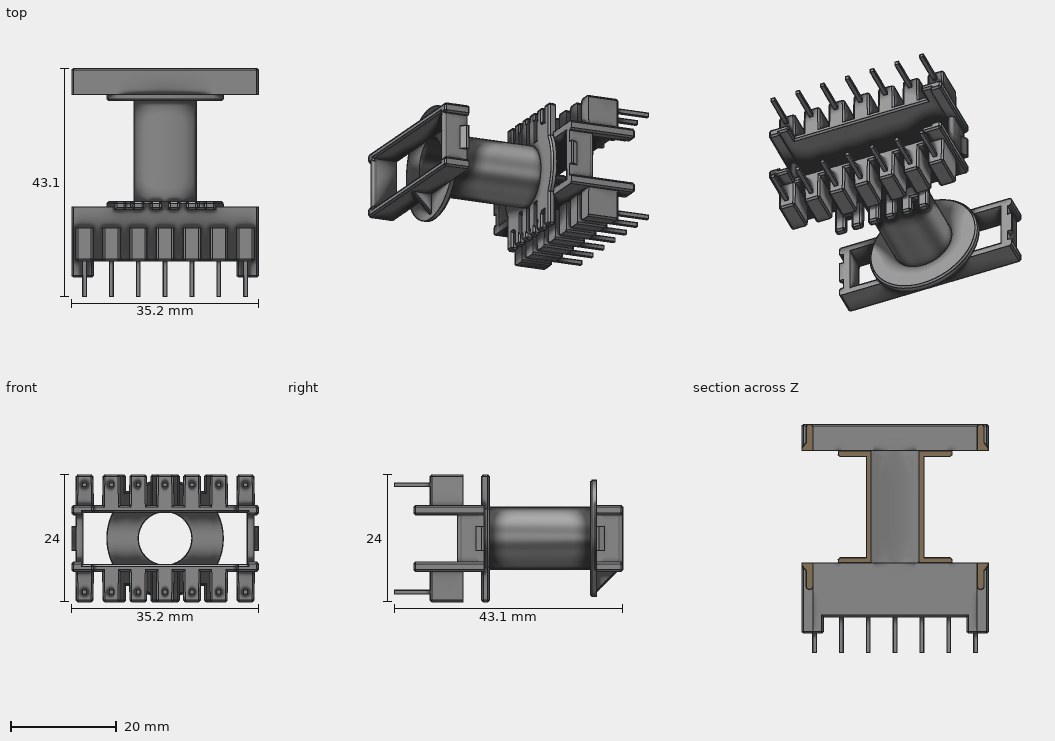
import cadquery as cq
import math


total_length = 43.1
pin_block_front = 6.72
pin_block_back = 12.97
arm_front = 3.65
side_wall_front = 11.9
tooth_front = 16.45
front_frame_back = 16.95
front_flange_back = 17.95
rear_flange_front = 37.0
rear_frame_front = 38.15

bore_radius = 5.05
tube_radius = 5.9
flange_radius = 11.0
edge_chamfer = 0.35
tolerance = 0.05

frame_width = 35.2
plate_outer_z = 6.25
plate_inner_z = 4.9
lip_inner_z = 4.45
side_wall_inner_x = 15.47
side_wall_outer_x = 16.8
arm_inner_x = 13.55

lug_half_height = 2.25
lug_flat = 0.47
lug_ramp = 1.05

overall_half_height = 24.0 / 2
pin_count = 7
pin_row_length = 30.4
pin_pitch = pin_row_length / (pin_count - 1)
pin_size = 0.75
pin_z = 10.15
block_base_width = 3.35
block_top_width = 3.15
pin_root = 0.45
block_root = 0.65

teeth_per_row = 6
tooth_row_length = 18.9
tooth_width = 2.03
tooth_pitch = (tooth_row_length - tooth_width) / (teeth_per_row - 1)
bridge_top_z = 8.85

gusset_size = 3.85
gusset_thickness = 1.05
gusset_chamfer = 0.2


def box(x0, x1, y0, y1, z0, z1):
    """Axis-aligned box between two opposite corners."""
    return cq.Workplane("XY").box(x1 - x0, y1 - y0, z1 - z0, centered=False).translate((x0, y0, z0))


def cylinder(radius, y0, y1):
    """Solid cylinder on the winding axis."""
    return cq.Workplane("XZ", origin=(0, y0, 0)).circle(radius).extrude(y0 - y1)


def mirrored(solid, plane):
    """The solid together with its mirror image."""
    return solid.union(solid.mirror(plane))


def flange(y0, y1, chamfered_side):
    """Round flange with one chamfered rim."""
    return cylinder(flange_radius, y0, y1).faces(chamfered_side).chamfer(edge_chamfer)


def plate(y0, y1):
    """Upper frame plate with a downward lip along each side."""
    half_width = frame_width / 2
    outline = [
        (-half_width, plate_outer_z),
        (half_width, plate_outer_z),
        (half_width, lip_inner_z),
        (side_wall_inner_x, lip_inner_z),
        (side_wall_inner_x, plate_inner_z),
        (-side_wall_inner_x, plate_inner_z),
        (-side_wall_inner_x, lip_inner_z),
        (-half_width, lip_inner_z),
    ]
    body = cq.Workplane("XZ", origin=(0, y0, 0)).polyline(outline).close().extrude(y0 - y1)
    return body.faces("<X or >X").edges("|Y").chamfer(edge_chamfer)


def front_plate():
    """Upper front plate: a central shelf between two longer arms."""
    body = plate(arm_front, front_frame_back)
    notch = box(-arm_inner_x, arm_inner_x, arm_front, pin_block_front, 0, overall_half_height)
    body = body.cut(notch)
    notch_edges = cq.selectors.BoxSelector(
        (-arm_inner_x - tolerance, arm_front, 0),
        (arm_inner_x + tolerance, pin_block_front + tolerance, plate_outer_z + tolerance),
    )
    arm_end_edges = body.faces("<Y").edges()
    return arm_end_edges.add(body.edges("|X or |Y").edges(notch_edges)).chamfer(edge_chamfer)


def rear_plate():
    """Upper rear plate, chamfered around its free end."""
    return plate(rear_frame_front, total_length).faces(">Y").edges().chamfer(edge_chamfer)


def side_wall(seat_y, end_y):
    """Right-hand side wall from its flange to a half-round free end."""
    radius = (side_wall_outer_x - side_wall_inner_x) / 2
    arc_start = end_y + math.copysign(radius, seat_y - end_y)
    return (
        cq.Workplane("XY", origin=(0, 0, -plate_inner_z))
        .moveTo(side_wall_inner_x, seat_y)
        .lineTo(side_wall_inner_x, arc_start)
        .threePointArc((side_wall_inner_x + radius, end_y), (side_wall_outer_x, arc_start))
        .lineTo(side_wall_outer_x, seat_y)
        .close()
        .extrude(2 * plate_inner_z)
    )


def snap_lug(seat_y, direction):
    """Right-hand wedge lug: a short flat at the flange end, then a ramp down to the wall."""
    flat_end = seat_y + direction * lug_flat
    ramp_end = flat_end + direction * lug_ramp
    return (
        cq.Workplane("XY", origin=(0, 0, -lug_half_height))
        .moveTo(side_wall_inner_x, seat_y)
        .lineTo(frame_width / 2, seat_y)
        .lineTo(frame_width / 2, flat_end)
        .lineTo(side_wall_outer_x, ramp_end)
        .lineTo(side_wall_inner_x, ramp_end)
        .close()
        .extrude(2 * lug_half_height)
    )


def pin_block(x):
    """Upper block, narrowing upwards, with its square pin."""
    base_z = plate_outer_z - block_root
    outline = [
        (x - block_base_width / 2, base_z),
        (x + block_base_width / 2, base_z),
        (x + block_top_width / 2, overall_half_height),
        (x - block_top_width / 2, overall_half_height),
    ]
    depth = pin_block_back - pin_block_front
    block = cq.Workplane("XZ", origin=(0, pin_block_front, 0)).polyline(outline).close().extrude(-depth)
    chamfered = block.edges("(<Y and (not <Z)) or (>Z and |Y)").chamfer(edge_chamfer)
    half_pin = pin_size / 2
    pin = box(x - half_pin, x + half_pin, 0, pin_block_front + pin_root, pin_z - half_pin, pin_z + half_pin)
    return chamfered.union(pin)


def tooth_row(sharp_ends):
    """Upper row of chamfered wire-guide teeth; the row's two front end edges may be left sharp."""
    half_width = tooth_width / 2
    last = teeth_per_row - 1
    row = cq.Workplane("XY")
    for index in range(teeth_per_row):
        x = (index - last / 2) * tooth_pitch
        tooth = box(
            x - half_width, x + half_width,
            tooth_front, front_flange_back, plate_inner_z, overall_half_height,
        )
        edges = "|Z or >Z"
        if sharp_ends and index == 0:
            edges = "(|Z and (not (<X and <Y))) or >Z"
        if sharp_ends and index == last:
            edges = "(|Z and (not (>X and <Y))) or >Z"
        row = row.add(tooth.edges(edges).chamfer(edge_chamfer))
    return row.combine()


def bridge():
    """Low web joining the two outermost teeth on the right."""
    outer_x = (teeth_per_row - 1) / 2 * tooth_pitch
    body = box(outer_x - tooth_pitch, outer_x, tooth_front, front_flange_back, plate_inner_z, bridge_top_z)
    return body.edges("|X and >Z").chamfer(edge_chamfer)


def wire_slots():
    """Upper slots between the inner teeth; the middle floor ramps, the others are chamfered at the back."""
    half_gap = (tooth_pitch - tooth_width) / 2
    middle = (
        cq.Workplane("YZ", origin=(-half_gap, 0, 0))
        .moveTo(tooth_front, plate_outer_z)
        .lineTo(front_flange_back, tube_radius)
        .lineTo(front_flange_back, overall_half_height)
        .lineTo(tooth_front, overall_half_height)
        .close()
        .extrude(2 * half_gap)
    )
    side = (
        cq.Workplane("YZ", origin=(tooth_pitch - half_gap, 0, 0))
        .moveTo(tooth_front, plate_outer_z)
        .lineTo(front_flange_back - edge_chamfer, plate_outer_z)
        .lineTo(front_flange_back, plate_outer_z - edge_chamfer)
        .lineTo(front_flange_back, overall_half_height)
        .lineTo(tooth_front, overall_half_height)
        .close()
        .extrude(2 * half_gap)
    )
    return middle.union(mirrored(side, "YZ"))


def gusset():
    """Triangular web below the rear frame, bracing the rear flange."""
    return (
        cq.Workplane("YZ", origin=(-gusset_thickness / 2, 0, 0))
        .moveTo(rear_frame_front, -plate_outer_z)
        .lineTo(rear_frame_front + gusset_size, -plate_outer_z)
        .lineTo(rear_frame_front, -plate_outer_z - gusset_size)
        .close()
        .extrude(gusset_thickness)
        .faces("#X and (not #Y) and (not #Z)")
        .edges("not |X")
        .chamfer(gusset_chamfer)
    )


body = flange(front_frame_back, front_flange_back, ">Y")
body = body.union(flange(rear_flange_front, rear_frame_front, "<Y"))

upper = front_plate().union(rear_plate()).union(mirrored(bridge(), "YZ"))
for index in range(pin_count):
    upper = upper.union(pin_block((index - (pin_count - 1) / 2) * pin_pitch))

right_side = side_wall(front_frame_back, side_wall_front)
right_side = right_side.union(side_wall(rear_frame_front, total_length))
right_side = right_side.union(snap_lug(front_frame_back, -1)).union(snap_lug(rear_frame_front, 1))

body = body.union(mirrored(upper, "XY")).union(mirrored(right_side, "YZ"))

body = body.union(tooth_row(sharp_ends=True))
body = body.union(tooth_row(sharp_ends=False).mirror("XY"))

body = body.cut(mirrored(wire_slots(), "XY"))
body = body.union(cylinder(tube_radius, front_frame_back, rear_frame_front))
body = body.cut(cylinder(bore_radius, front_frame_back, rear_frame_front))
result = body.union(gusset())